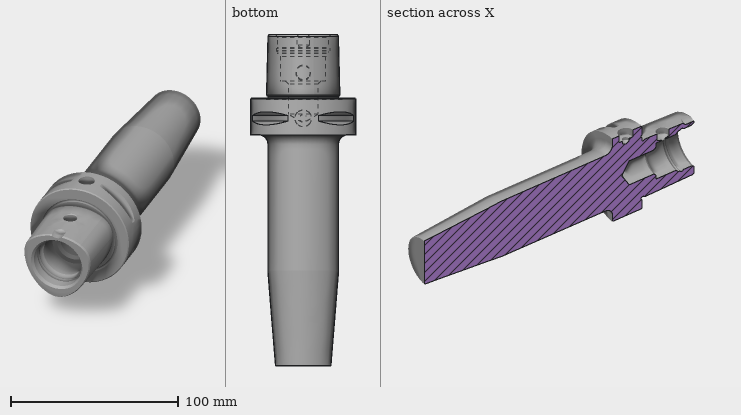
import cadquery as cq
import math


tip_y = 160.0
tip_radius = 16.6
tip_chamfer = 0.4
taper_start_y = 103.2
body_radius = 21.2
flange_radius = 31.5
flange_length = 22.0
flange_chamfer = 0.5
root_fillet = 5.3

groove_outer_radius = 24.4
groove_inner_radius = 22.8

shank_length = 38.0
lobe_mean_radius = 22.0
lobe_offset = 1.4
shank_taper = 1 / 20
flat_half_angle = 32.5
neck_inset = 0.8
neck_length = 1.0
neck_chamfer_length = 0.8
end_chamfer_length = 1.2
end_chamfer_inset = 0.5

mouth_radius = 16.5
mouth_chamfer_length = 1.8
bore_radius = 15.2
undercut_start = 7.7
undercut_end = 10.5
undercut_depth = 0.8
bore_land = 1.0
inner_bore_radius = 13.5
inner_bore_depth = 27.7
pilot_radius = 9.0
pilot_chamfer = 1.8
pilot_depth = 47.5
drill_half_angle = 59

clearance = 2.0

slot_y = 12.0
slot_floor_distance = 27.7
slot_floor_width = 3.2
slot_wall_angle = 32
coding_hole_radius = 5.0
coding_hole_depth = 5.1
coding_pilot_radius = 2.2
coding_pilot_depth = 2.0

cross_hole_y = -15.2
cross_hole_radius = 4.2
cross_hole_depth = 5.0
cross_hole_tip_height = 1.4
cross_hole_chamfer = 0.4
notch_radius = 5.1
notch_floor_z = 18.0
notch_length = 6.3


def cone_height(radius):
    """Height of the drill point at the bottom of a hole."""
    return radius / math.tan(math.radians(drill_half_angle))


def make_round_body():
    fillet_y = flange_length + root_fillet
    return (
        cq.Workplane("XY")
        .moveTo(0, 0)
        .lineTo(flange_radius - flange_chamfer, 0)
        .lineTo(flange_radius, flange_chamfer)
        .lineTo(flange_radius, flange_length)
        .lineTo(body_radius + root_fillet, flange_length)
        .radiusArc((body_radius, fillet_y), root_fillet)
        .lineTo(body_radius, taper_start_y)
        .lineTo(tip_radius, tip_y - tip_chamfer)
        .lineTo(tip_radius - tip_chamfer, tip_y)
        .lineTo(0, tip_y)
        .close()
        .revolve(360, (0, 0, 0), (0, 1, 0))
    )


def lobe_point(mean_radius, angle, y):
    """Point of the lobed outline; a smaller mean radius gives a parallel inner outline."""
    x = mean_radius * math.sin(angle) + lobe_offset * (2 * math.sin(2 * angle) + math.sin(4 * angle))
    z = mean_radius * math.cos(angle) - lobe_offset * (2 * math.cos(2 * angle) - math.cos(4 * angle))
    return cq.Vector(x, y, z)


def lobe_outline(mean_radius, y):
    """Closed wire of three flats and three lobes in turn."""
    points_per_side = 9
    edges = []
    for flat_centre in (0, 120, 240):
        flat_start = flat_centre - flat_half_angle
        flat_end = flat_centre + flat_half_angle
        next_flat = flat_start + 120
        for start, end in ((flat_start, flat_end), (flat_end, next_flat)):
            step = (end - start) / (points_per_side - 1)
            angles = [math.radians(start + i * step) for i in range(points_per_side)]
            edges.append(cq.Edge.makeSpline([lobe_point(mean_radius, a, y) for a in angles]))
    return cq.Wire.assembleEdges(edges)


def make_shank():
    base_y = -(neck_length + neck_chamfer_length)
    chamfer_y = -(shank_length - end_chamfer_length)
    end_radius = lobe_mean_radius - (base_y - chamfer_y) * shank_taper / 2
    sections = [
        (lobe_mean_radius - neck_inset, 0),
        (lobe_mean_radius - neck_inset, -neck_length),
        (lobe_mean_radius, base_y),
        (end_radius, chamfer_y),
        (end_radius - end_chamfer_inset, -shank_length),
    ]
    outlines = [lobe_outline(radius, y) for radius, y in sections]
    return cq.Workplane(cq.Solid.makeLoft(outlines, True))


def make_face_groove():
    ring_radius = (groove_outer_radius + groove_inner_radius) / 2
    groove_radius = (groove_outer_radius - groove_inner_radius) / 2
    return (
        cq.Workplane("XY")
        .moveTo(ring_radius, 0)
        .circle(groove_radius)
        .revolve(360, (0, 0, 0), (0, 1, 0))
    )


def make_bore():
    undercut_radius = bore_radius + undercut_depth
    land_end = undercut_end + bore_land
    step_end = land_end + bore_radius - inner_bore_radius
    profile = [
        (0, 0),
        (mouth_radius, 0),
        (bore_radius, mouth_chamfer_length),
        (bore_radius, undercut_start),
        (undercut_radius, undercut_start + undercut_depth),
        (undercut_radius, undercut_end - undercut_depth),
        (bore_radius, undercut_end),
        (bore_radius, land_end),
        (inner_bore_radius, step_end),
        (inner_bore_radius, inner_bore_depth),
        (pilot_radius + pilot_chamfer, inner_bore_depth),
        (pilot_radius, inner_bore_depth + pilot_chamfer),
        (pilot_radius, pilot_depth),
        (0, pilot_depth + cone_height(pilot_radius)),
    ]
    return (
        cq.Workplane("XY", origin=(0, -shank_length, 0))
        .polyline(profile)
        .close()
        .revolve(360, (0, 0, 0), (0, 1, 0))
    )


def make_gripper_slots():
    """Four straight V-sided slots across the flange rim, halfway between the X and Z axes."""
    top_z = flange_radius + clearance
    flare = (top_z - slot_floor_distance) * math.tan(math.radians(slot_wall_angle))
    floor_half = slot_floor_width / 2
    slot = (
        cq.Workplane("YZ")
        .polyline(
            [
                (slot_y - floor_half, slot_floor_distance),
                (slot_y + floor_half, slot_floor_distance),
                (slot_y + floor_half + flare, top_z),
                (slot_y - floor_half - flare, top_z),
            ]
        )
        .close()
        .extrude(flange_radius, both=True)
    )
    slots = cq.Workplane()
    for angle in (45, 135, 225, 315):
        slots = slots.add(slot.rotate((0, 0, 0), (0, 1, 0), angle))
    return slots.combine()


def make_radial_hole(y, profile):
    """Hole of (radius, z) profile, pointing down from +Z at the given Y."""
    return (
        cq.Workplane("XZ", origin=(0, y, 0))
        .polyline(profile)
        .close()
        .revolve(360, (0, 0, 0), (0, 1, 0))
    )


def make_coding_hole():
    floor_z = flange_radius - coding_hole_depth
    pilot_z = floor_z - coding_pilot_depth
    return make_radial_hole(
        slot_y,
        [
            (0, flange_radius + clearance),
            (coding_hole_radius, flange_radius + clearance),
            (coding_hole_radius, floor_z),
            (coding_pilot_radius, floor_z),
            (coding_pilot_radius, pilot_z),
            (0, pilot_z - cone_height(coding_pilot_radius)),
        ],
    )


def make_cross_hole():
    surface_z = lobe_mean_radius - lobe_offset + cross_hole_y * shank_taper / 2
    floor_z = surface_z - cross_hole_depth
    return make_radial_hole(
        cross_hole_y,
        [
            (0, surface_z + cross_hole_chamfer),
            (cross_hole_radius + 2 * cross_hole_chamfer, surface_z + cross_hole_chamfer),
            (cross_hole_radius, surface_z - cross_hole_chamfer),
            (cross_hole_radius, floor_z),
            (0, floor_z - cross_hole_tip_height),
        ],
    )


def make_end_notch():
    """Round-bottomed notch from the shank end, closed by a 45 degree cone."""
    profile = [
        (0, 0),
        (notch_radius, 0),
        (notch_radius, notch_length),
        (0, notch_length + notch_radius),
    ]
    return (
        cq.Workplane("XY", origin=(0, -shank_length, notch_floor_z + notch_radius))
        .polyline(profile)
        .close()
        .revolve(360, (0, 0, 0), (0, 1, 0))
    )


result = (
    make_round_body()
    .cut(make_face_groove())
    .union(make_shank())
    .cut(make_bore())
    .cut(make_gripper_slots())
    .cut(make_coding_hole())
    .cut(make_cross_hole())
    .cut(make_end_notch())
)